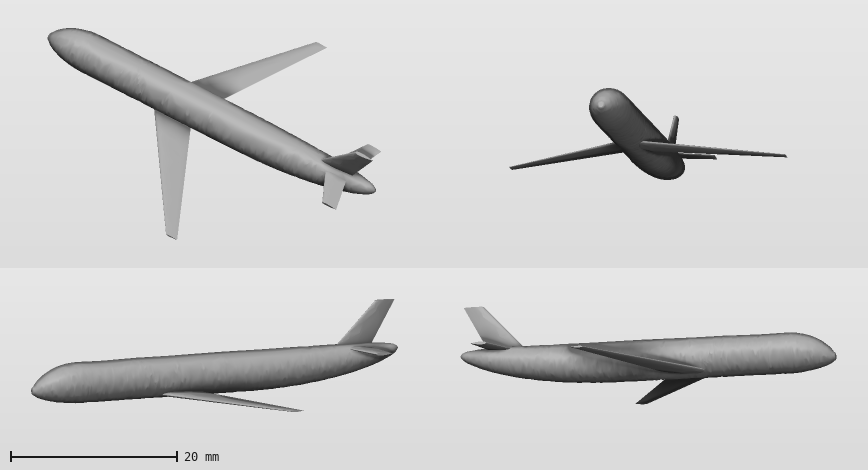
import cadquery as cq
import math


LENGTH = 46.5
BODY_RADIUS = 2.485

NOSE_LENGTH = 6.05
NOSE_END_ANGLE = 80.0
NOSE_SHAPE = (2.0, 0.65)
NOSE_SHIFT = -0.765
NOSE_SHIFT_POWER = 2.6

TAIL_LENGTH = 19.5
TAIL_END_ANGLE = 88.0
TAIL_SHAPE = (1.9, 0.5)
TAIL_SHIFT = 1.555
TAIL_SHIFT_POWER = 2.3

END_STEPS = 10
MIDDLE_STEPS = 16

WING_SPAN = 33.85
WING_TOP = 0.98
WING_THICKNESS_RATIO = 0.13
WING_ROOT_FRONT = 14.8
WING_ROOT_CHORD = 5.62
WING_TIP_FRONT = 27.35
WING_TIP_CHORD = 1.6

TAILPLANE_SPAN = 10.23
TAILPLANE_HEIGHT = 4.5
TAILPLANE_THICKNESS = 0.35
TAILPLANE_ROOT_FRONT = 39.45
TAILPLANE_ROOT_CHORD = 3.1
TAILPLANE_TIP_FRONT = 42.1
TAILPLANE_TIP_CHORD = 2.0

FIN_TOP = 10.05
FIN_ROOT_HEIGHT = 4.5
FIN_THICKNESS = 0.45
FIN_ROOT_FRONT = 38.35
FIN_ROOT_CHORD = 4.65
FIN_TIP_FRONT = 43.65
FIN_TIP_CHORD = 2.45

AIRFOIL_STEPS = 10


def airfoil_half_thickness(position):
    """Half thickness of a symmetric airfoil of thickness 1, for a position of 0 to 1 along the chord."""
    return 5 * (
        0.2969 * math.sqrt(position)
        - 0.1260 * position
        - 0.3516 * position**2
        + 0.2843 * position**3
        - 0.1036 * position**4
    )


def airfoil_wire(front, chord, thickness, thickness_direction):
    """Closed airfoil with its chord along X, made of two mirrored curves."""
    nose = cq.Vector(*front)
    upward = cq.Vector(*thickness_direction)
    sides = []
    for side in (1, -1):
        points = []
        for step in range(AIRFOIL_STEPS + 1):
            position = (step / AIRFOIL_STEPS) ** 2
            offset = side * thickness * airfoil_half_thickness(position)
            points.append(nose + cq.Vector(chord * position, 0, 0) + upward * offset)
        sides.append(cq.Edge.makeSpline(points))
    return cq.Wire.assembleEdges(sides)


def panel(root, tip):
    """Straight-sided solid between two airfoils."""
    return cq.Workplane(cq.Solid.makeLoft([root, tip], True))


def body_section(x, height, radius):
    """Circle square to X with its centre at the given height."""
    return cq.Wire.makeCircle(radius, cq.Vector(x, 0, height), cq.Vector(1, 0, 0))


def end_sections(start, length, end_angle, shape, shift, shift_power):
    """Sections from the full radius at X = start outward; a negative length runs toward -X."""
    power, root = shape
    full_angle = math.radians(end_angle)
    sections = []
    for step in range(END_STEPS + 1):
        progress = math.sin(full_angle * step / END_STEPS)
        x = start + length * progress / math.sin(full_angle)
        height = BODY_RADIUS + shift * progress**shift_power
        radius = BODY_RADIUS * (1 - progress**power) ** root
        sections.append(body_section(x, height, radius))
    return sections


def make_fuselage():
    """One smooth body through the nose, middle and tail sections."""
    tail_start = LENGTH - TAIL_LENGTH
    nose = end_sections(
        NOSE_LENGTH, -NOSE_LENGTH, NOSE_END_ANGLE, NOSE_SHAPE, NOSE_SHIFT, NOSE_SHIFT_POWER
    )
    tail = end_sections(
        tail_start, TAIL_LENGTH, TAIL_END_ANGLE, TAIL_SHAPE, TAIL_SHIFT, TAIL_SHIFT_POWER
    )
    middle = []
    for step in range(1, MIDDLE_STEPS):
        x = NOSE_LENGTH + (tail_start - NOSE_LENGTH) * step / MIDDLE_STEPS
        middle.append(body_section(x, BODY_RADIUS, BODY_RADIUS))
    body = cq.occ_impl.shapes.loft(nose[::-1] + middle + tail, cap=True, parametrization="chordal")
    return cq.Workplane(body)


def make_wing():
    """One wing from tip to tip; it thins outward in step with its chord."""
    root_thickness = WING_THICKNESS_RATIO * WING_ROOT_CHORD
    tip_thickness = WING_THICKNESS_RATIO * WING_TIP_CHORD
    root_front = (WING_ROOT_FRONT, 0, WING_TOP - root_thickness / 2)
    tip_front = (WING_TIP_FRONT, WING_SPAN / 2, WING_TOP - tip_thickness / 2)
    half = panel(
        airfoil_wire(root_front, WING_ROOT_CHORD, root_thickness, (0, 0, 1)),
        airfoil_wire(tip_front, WING_TIP_CHORD, tip_thickness, (0, 0, 1)),
    )
    return half.union(half.mirror("XZ"))


def make_tailplane():
    """One level tailplane from tip to tip, of constant thickness."""
    root_front = (TAILPLANE_ROOT_FRONT, 0, TAILPLANE_HEIGHT)
    tip_front = (TAILPLANE_TIP_FRONT, TAILPLANE_SPAN / 2, TAILPLANE_HEIGHT)
    half = panel(
        airfoil_wire(root_front, TAILPLANE_ROOT_CHORD, TAILPLANE_THICKNESS, (0, 0, 1)),
        airfoil_wire(tip_front, TAILPLANE_TIP_CHORD, TAILPLANE_THICKNESS, (0, 0, 1)),
    )
    return half.union(half.mirror("XZ"))


def make_fin():
    """Upright fin of constant thickness."""
    root_front = (FIN_ROOT_FRONT, 0, FIN_ROOT_HEIGHT)
    tip_front = (FIN_TIP_FRONT, 0, FIN_TOP)
    return panel(
        airfoil_wire(root_front, FIN_ROOT_CHORD, FIN_THICKNESS, (0, 1, 0)),
        airfoil_wire(tip_front, FIN_TIP_CHORD, FIN_THICKNESS, (0, 1, 0)),
    )


whole_fuselage = make_fuselage()
wing = make_wing()
tailplane = make_tailplane()

fin = make_fin().cut(whole_fuselage)
fuselage = whole_fuselage.cut(wing).cut(tailplane)

result = cq.Compound.makeCompound(
    [*fuselage.vals(), *wing.vals(), *tailplane.vals(), *fin.vals()]
)